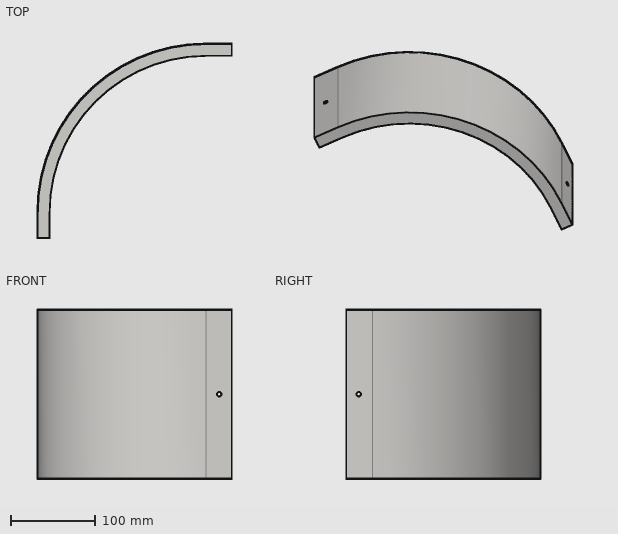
import cadquery as cq
import math

sheet_thickness = 1.0
fold_outer_radius = sheet_thickness

overall_side = 231.8
leg_length = 31.0
bend_outer_radius = overall_side - leg_length
overall_height = 202.0

flange_width = 15.0

hole_diameter = 5.0
hole_from_end = 15.0

half_side = overall_side / 2
bend_axis = half_side - leg_length


def bend_middle(radius):
    """Point halfway round the quarter bend at the given radius."""
    reach = radius * math.sqrt(0.5)
    return (bend_axis - reach, reach - bend_axis)


def quarter_band(outer_inset, inner_inset, height):
    """Leg, bend and leg lying between two insets from the outer face, centred on Z."""
    outer_face = half_side - outer_inset
    inner_face = half_side - inner_inset
    return (
        cq.Workplane("XY")
        .workplane(offset=-height / 2)
        .moveTo(-outer_face, -half_side)
        .lineTo(-outer_face, -bend_axis)
        .threePointArc(bend_middle(bend_outer_radius - outer_inset), (bend_axis, outer_face))
        .lineTo(half_side, outer_face)
        .lineTo(half_side, inner_face)
        .lineTo(bend_axis, inner_face)
        .threePointArc(bend_middle(bend_outer_radius - inner_inset), (-inner_face, -bend_axis))
        .lineTo(-inner_face, -half_side)
        .close()
        .extrude(height)
    )


def lies_on_fold(edge):
    """True for an edge on the outer face of the wall at its top or bottom."""
    tolerance = 0.01
    middle = edge.positionAt(0.5)
    across = min(middle.x - bend_axis, 0)
    along = max(middle.y + bend_axis, 0)
    on_outer_face = abs(math.hypot(across, along) - bend_outer_radius) < tolerance
    on_level = abs(abs(middle.z) - overall_height / 2) < tolerance
    return on_outer_face and on_level


def folded_channel():
    """Curved wall with a flange folded inward along its top and bottom edges."""
    envelope = quarter_band(0, flange_width, overall_height)
    hollow = quarter_band(sheet_thickness, flange_width, overall_height - 2 * sheet_thickness)
    body = envelope.cut(hollow)
    fold_edges = [edge for edge in body.edges().vals() if lies_on_fold(edge)]
    return body.newObject(fold_edges).fillet(fold_outer_radius)


def leg_holes():
    """Cutters for the mid-height hole through the wall of each leg."""
    hole_place = half_side - hole_from_end
    wall_middle = half_side - sheet_thickness / 2
    cutter = cq.Workplane("XY").circle(hole_diameter / 2).extrude(2 * sheet_thickness, both=True)
    along_y = cutter.rotate((0, 0, 0), (1, 0, 0), 90).translate((hole_place, wall_middle, 0))
    along_x = cutter.rotate((0, 0, 0), (0, 1, 0), 90).translate((-wall_middle, -hole_place, 0))
    return along_y.union(along_x)


result = folded_channel().cut(leg_holes())